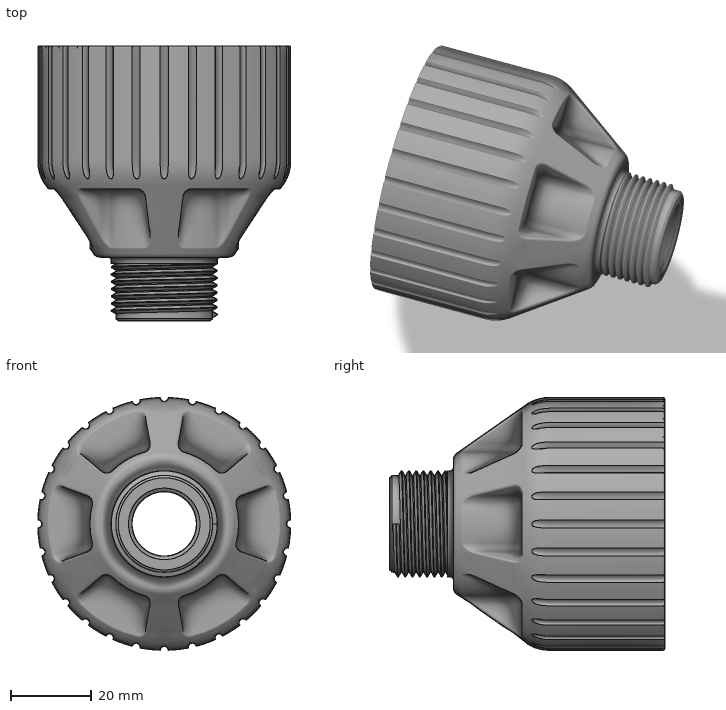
import cadquery as cq
import math

part_axis = ((0, 0, 0), (0, 1, 0))

body_radius = 31.5
rear_edge_round = 0.5
cylinder_depth = 28.75
cone_angle = math.radians(35)
shoulder_round = 10.0
flange_depth = 52.65
flange_round = 2.0

total_length = 68.5
collar_radius = 13.22
collar_length = 1.5
collar_fillet = 0.8
thread_pitch = 25.4 / 14
thread_crest_radius = 13.2
thread_root_radius = 12.06
thread_end_depth = 66.9
tip_chamfer = 0.6
thread_crest_width = 0.2
thread_base_width = 0.94 * thread_pitch
thread_embed = 0.15

bore_radius = 8.0
bore_chamfer = 0.9

groove_count = 28
groove_radius = 1.0

pocket_count = 6
pocket_half_angle = math.radians(20)
pocket_inner_radius = 18.5
pocket_floor_depth = 35.6
pocket_fillet = 2.0
pocket_outer_reach = 45.0
rim_round = 0.5


def turned_body():
    """Body and plain spigot, turned from half of its section."""
    sin_c = math.sin(cone_angle)
    cos_c = math.cos(cone_angle)
    shoulder_centre = body_radius - shoulder_round
    shoulder_mid_angle = cone_angle / 2
    cone_start = (shoulder_centre + shoulder_round * cos_c, -(cylinder_depth + shoulder_round * sin_c))
    shoulder_middle = (
        shoulder_centre + shoulder_round * math.cos(shoulder_mid_angle),
        -(cylinder_depth + shoulder_round * math.sin(shoulder_mid_angle)),
    )
    flange_centre_y = -(flange_depth - flange_round)
    cone_end_y = flange_centre_y - flange_round * sin_c
    cone_end_radius = cone_start[0] - (cone_start[1] - cone_end_y) * math.tan(cone_angle)
    cone_end = (cone_end_radius, cone_end_y)
    flange_edge = cone_end_radius - flange_round * cos_c
    flange_mid_angle = (cone_angle + math.pi / 2) / 2
    flange_middle = (
        flange_edge + flange_round * math.cos(flange_mid_angle),
        flange_centre_y - flange_round * math.sin(flange_mid_angle),
    )
    fillet_offset = collar_fillet * (1 - math.sqrt(0.5))
    collar_end = -(flange_depth + collar_length)
    section = (
        cq.Workplane("XY")
        .lineTo(body_radius - rear_edge_round, 0)
        .radiusArc((body_radius, -rear_edge_round), rear_edge_round)
        .lineTo(body_radius, -cylinder_depth)
        .threePointArc(shoulder_middle, cone_start)
        .lineTo(*cone_end)
        .threePointArc(flange_middle, (flange_edge, -flange_depth))
        .lineTo(collar_radius + collar_fillet, -flange_depth)
        .threePointArc(
            (collar_radius + fillet_offset, -flange_depth - fillet_offset),
            (collar_radius, -flange_depth - collar_fillet),
        )
        .lineTo(collar_radius, collar_end)
        .lineTo(thread_root_radius, collar_end)
        .lineTo(thread_root_radius, -total_length + tip_chamfer)
        .lineTo(thread_root_radius - tip_chamfer, -total_length)
        .lineTo(0, -total_length)
        .close()
    )
    return section.revolve(360, *part_axis).rotate(*part_axis, -90)


def pocket():
    """Sector-shaped cutter centred on +X, with a flat floor and rounded inner edges."""
    cos_p = math.cos(pocket_half_angle)
    sin_p = math.sin(pocket_half_angle)
    inner = (pocket_inner_radius * cos_p, pocket_inner_radius * sin_p)
    outer = (pocket_outer_reach * cos_p, pocket_outer_reach * sin_p)
    sector = (
        cq.Workplane("XZ", origin=(0, -pocket_floor_depth, 0))
        .moveTo(inner[0], -inner[1])
        .threePointArc((pocket_inner_radius, 0), inner)
        .lineTo(*outer)
        .lineTo(outer[0], -outer[1])
        .close()
        .extrude(flange_depth - pocket_floor_depth)
    )
    sector = sector.edges("|Y and <X").fillet(pocket_fillet)
    return sector.faces(">Y").edges("not >X").fillet(pocket_fillet)


def cut_pockets(body):
    cutter = pocket()
    for index in range(pocket_count):
        body = body.cut(cutter.rotate(*part_axis, index * 360 / pocket_count))
    return body


def round_pocket_rims(body):
    """Small round where the pockets break through the cone."""
    cone_faces = [face for face in body.faces("%CONE").vals() if face.innerWires()]
    rims = [edge for face in cone_faces for wire in face.innerWires() for edge in wire.Edges()]
    return body.newObject(rims).fillet(rim_round)


def cut_grooves(body):
    """Round grooves along the grip, running out on the rounded shoulder."""
    groove = cq.Workplane("XZ").center(body_radius, 0).circle(groove_radius).extrude(flange_depth)
    for index in range(groove_count):
        body = body.cut(groove.rotate(*part_axis, index * 360 / groove_count))
    return body


def thread():
    """Right-hand thread ridge from the spigot end up to the collar."""
    height = thread_end_depth - flange_depth - collar_length / 2
    base_radius = thread_root_radius - thread_embed
    half_base = thread_base_width / 2
    half_crest = thread_crest_width / 2
    outline = [
        (base_radius, -half_base),
        (thread_crest_radius, -half_crest),
        (thread_crest_radius, half_crest),
        (base_radius, half_base),
    ]
    helix = cq.Wire.makeHelix(thread_pitch, height, thread_root_radius)
    profile = cq.Workplane("XZ").polyline(outline).close()
    ridge = profile.sweep(cq.Workplane(obj=helix), isFrenet=True)
    return ridge.rotate((0, 0, 0), (1, 0, 0), -90).translate((0, -thread_end_depth, 0))


def bore():
    """Through bore, opening in a chamfer at the spigot end."""
    profile = (
        cq.Workplane("XY")
        .lineTo(bore_radius, 0)
        .lineTo(bore_radius, -total_length + bore_chamfer)
        .lineTo(bore_radius + bore_chamfer, -total_length)
        .lineTo(0, -total_length)
        .close()
    )
    return profile.revolve(360, *part_axis)


result = turned_body()
result = cut_pockets(result)
result = round_pocket_rims(result)
result = cut_grooves(result)
result = result.union(thread())
result = result.cut(bore())